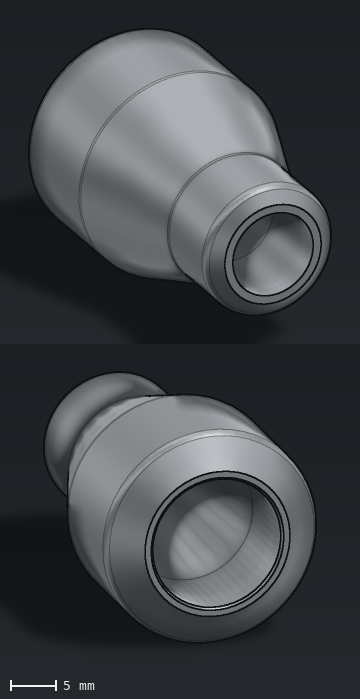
import cadquery as cq
import math

length = 38.0
cone_start = 15.1
cone_end = 28.0
bore_taper_start = 10.0

large_radius = 25.0 / 2
small_radius = 16.0 / 2
large_bore_radius = 15.0 / 2
small_bore_radius = 10.0 / 2

land_width = 1.0
bevel_slope = math.tan(math.radians(60))
edge_round = 1.0
bore_chamfer = 0.25

large_land_radius = large_bore_radius + land_width
small_land_radius = small_bore_radius + land_width
large_bevel_length = (large_radius - large_land_radius) / bevel_slope
small_bevel_length = (small_radius - small_land_radius) / bevel_slope


def revolve_about_x(points):
    """Turn a closed (x, radius) outline into a solid around the X axis."""
    return cq.Workplane("XY").polyline(points).close().revolve(360, (0, 0, 0), (1, 0, 0))


def make_body():
    """Solid reducer with bevelled ends and rounded outer corners."""
    body = revolve_about_x([
        (0, 0),
        (0, large_land_radius),
        (large_bevel_length, large_radius),
        (cone_start, large_radius),
        (cone_end, small_radius),
        (length - small_bevel_length, small_radius),
        (length, small_land_radius),
        (length, 0),
    ])
    rounded_corners = body.edges("%CIRCLE").edges("not(<X or >X)")
    return rounded_corners.fillet(edge_round)


def make_bore():
    """Tapered passage with a small chamfer at the large mouth."""
    return revolve_about_x([
        (0, 0),
        (0, large_bore_radius + bore_chamfer),
        (bore_chamfer, large_bore_radius),
        (bore_taper_start, large_bore_radius),
        (cone_end, small_bore_radius),
        (length, small_bore_radius),
        (length, 0),
    ])


result = make_body().cut(make_bore())